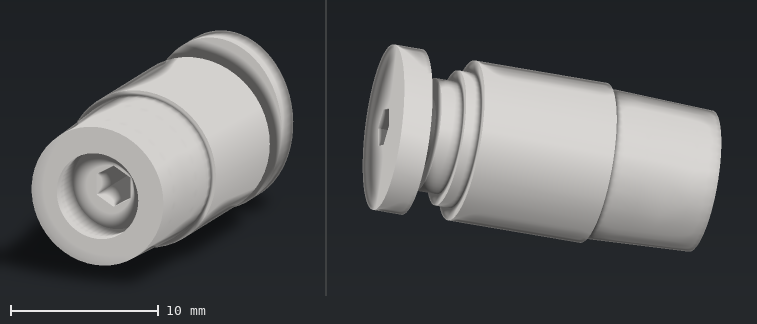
import cadquery as cq
import math

taper_end = 6.95
relief_end = 7.6
body_end = 16.95
collar_end = 18.0
sleeve_end = 19.5
neck_end = 20.45
overall_length = 22.45

nose_diameter = 9.7
relief_diameter = 10.3
body_diameter = 11.0
collar_diameter = 9.3
sleeve_diameter = 7.75
neck_diameter = 5.0

button_width = 9.8
button_height = 12.0

bore_diameter = 6.0
bore_depth = 2.8
hex_across_flats = 2.5
hex_sides = 6
corner_angle = 90


def cross_section(y_start):
    """Workplane normal to +Y at the given station."""
    return cq.Workplane("XZ", origin=(0, y_start, 0))


def cylinder(diameter, y_start, y_end):
    """Solid cylinder on the Y axis between two stations."""
    return cross_section(y_start).circle(diameter / 2).extrude(y_start - y_end)


def taper_nose():
    """Conical nose widening toward the body."""
    return (
        cq.Workplane("XY")
        .lineTo(nose_diameter / 2, 0)
        .lineTo(relief_diameter / 2, taper_end)
        .lineTo(0, taper_end)
        .close()
        .revolve(360, (0, 0, 0), (0, 1, 0))
    )


def release_button():
    """Oval plate, taller along Z than wide along X."""
    return (
        cross_section(neck_end)
        .ellipse(button_width / 2, button_height / 2)
        .extrude(neck_end - overall_length)
    )


def hex_passage():
    """Hexagonal through passage with two corners on the Z axis."""
    across_corners = hex_across_flats / math.cos(math.pi / hex_sides)
    return (
        cross_section(0)
        .transformed(rotate=(0, 0, corner_angle))
        .polygon(hex_sides, across_corners)
        .extrude(-overall_length)
    )


cylindrical_steps = [
    (relief_diameter, relief_end),
    (body_diameter, body_end),
    (collar_diameter, collar_end),
    (sleeve_diameter, sleeve_end),
    (neck_diameter, neck_end),
]

result = taper_nose()
step_start = taper_end
for step_diameter, step_end in cylindrical_steps:
    result = result.union(cylinder(step_diameter, step_start, step_end))
    step_start = step_end

result = result.union(release_button())
result = result.cut(cylinder(bore_diameter, 0, bore_depth))
result = result.cut(hex_passage())